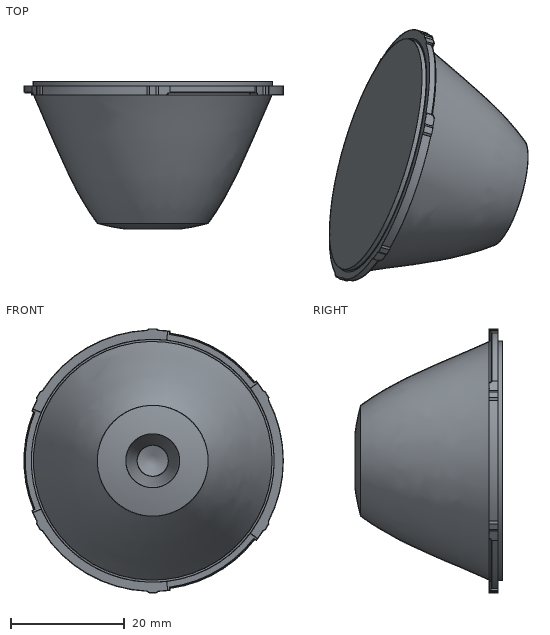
import cadquery as cq
import math


total_depth = 26.0
flange_diameter = 42.7
flange_radius = flange_diameter / 2
back_step_radius = 21.05
cone_base_radius = 20.95
dome_rise = 1.0
dome_radius_at_rim = 9.75
dome_rim_depth = total_depth - dome_rise
flank_points = [(17.08, 11.35), (12.75, 20.3)]

mouth_radius = 4.75
mouth_chamfer_width = 0.2
mouth_chamfer_depth = 0.45
recess_floor_radius = 2.75
recess_depth = 9.3
recess_cone_depth = 0.95

ring_radius = 22.95
ring_thickness = 1.6
ring_back_depth = 0.8
ring_front_depth = ring_back_depth + ring_thickness

bump_count = 6
bump_first_angle = 30.0
bump_tip_radius = 23.2
bump_tip_width = 1.2
bump_base_width = 1.95

notch_count = 3
notch_first_angle = 60.0
notch_depth = 0.3
notch_span = 46.8
notch_end_fillet = 0.25
rim_cut_span = 44.8
rim_cut_radius = 22.65
rim_chamfer = 0.25
clearance = 0.95


def polar(radius, angle):
    """Point in the X-Z plane at an angle in degrees."""
    return radius * math.cos(math.radians(angle)), radius * math.sin(math.radians(angle))


def cross_section(depth):
    """Workplane across the axis at a depth; its x, y and normal are X, Z and -Y."""
    return cq.Workplane("XZ", origin=(0, -depth, 0))


def revolve_about_axis(profile):
    return profile.close().revolve(360, (0, 0, 0), (0, 1, 0))


def sector(inner_radius, outer_radius, center_angle, span, start_depth, thickness):
    """Piece of a flat ring that covers the given angular span."""
    first = center_angle - span / 2
    last = center_angle + span / 2
    return (
        cross_section(start_depth)
        .moveTo(*polar(inner_radius, first))
        .lineTo(*polar(outer_radius, first))
        .threePointArc(polar(outer_radius, center_angle), polar(outer_radius, last))
        .lineTo(*polar(inner_radius, last))
        .threePointArc(polar(inner_radius, center_angle), polar(inner_radius, first))
        .close()
        .extrude(thickness)
    )


def make_lens():
    dome_mid_radius = (dome_radius_at_rim + mouth_radius) / 2
    dome_mid_rise = (
        dome_rise * (dome_radius_at_rim**2 - dome_mid_radius**2) / (dome_radius_at_rim**2 - mouth_radius**2)
    )
    flank = [(radius, -depth) for radius, depth in flank_points]
    profile = (
        cq.Workplane("XY")
        .lineTo(back_step_radius, 0)
        .lineTo(back_step_radius, -ring_back_depth)
        .lineTo(flange_radius, -ring_back_depth)
        .lineTo(flange_radius, -ring_front_depth)
        .lineTo(cone_base_radius, -ring_front_depth)
        .spline(flank + [(dome_radius_at_rim, -dome_rim_depth)], includeCurrent=True)
        .threePointArc((dome_mid_radius, -dome_rim_depth - dome_mid_rise), (mouth_radius, -total_depth))
        .lineTo(mouth_radius - mouth_chamfer_width, -total_depth + mouth_chamfer_depth)
        .lineTo(recess_floor_radius, -total_depth + recess_depth)
        .lineTo(0, -total_depth + recess_depth + recess_cone_depth)
    )
    return revolve_about_axis(profile)


def make_bump(angle):
    """Small tapered tooth rooted in the ring rim."""
    root_radius = ring_radius - clearance
    foot_radius = math.sqrt(ring_radius**2 - (bump_base_width / 2) ** 2)
    outline = [
        (root_radius, -bump_base_width / 2),
        (foot_radius, -bump_base_width / 2),
        (bump_tip_radius, -bump_tip_width / 2),
        (bump_tip_radius, bump_tip_width / 2),
        (foot_radius, bump_base_width / 2),
        (root_radius, bump_base_width / 2),
    ]
    tooth = cross_section(ring_back_depth).polyline(outline).close().extrude(ring_thickness)
    return tooth.rotate((0, 0, 0), (0, -1, 0), angle)


def make_rim_chamfer_cutter(angle, floor_depth):
    """Triangular section swept along the front outer edge of a notch."""
    outline = [
        (rim_cut_radius - rim_chamfer, -floor_depth),
        (rim_cut_radius, -floor_depth),
        (rim_cut_radius, -floor_depth + rim_chamfer),
    ]
    wedge = cq.Workplane("XY").polyline(outline).close().revolve(rim_cut_span, (0, 0, 0), (0, -1, 0))
    return wedge.rotate((0, 0, 0), (0, -1, 0), angle - rim_cut_span / 2)


def fillet_notch_ends(ring, floor_depth):
    """Round the straight corners where the notch floors meet their end walls."""
    half_slab = notch_depth / 4
    floor_slab = cq.selectors.BoxSelector(
        (-bump_tip_radius, -floor_depth - half_slab, -bump_tip_radius),
        (bump_tip_radius, -floor_depth + half_slab, bump_tip_radius),
        boundingbox=True,
    )
    return ring.edges(floor_slab).edges("%LINE").fillet(notch_end_fillet)


def make_holder_ring():
    ring = cross_section(ring_back_depth).circle(ring_radius).extrude(ring_thickness)
    for index in range(bump_count):
        ring = ring.union(make_bump(bump_first_angle + index * 360 / bump_count))
    ring = ring.cut(cross_section(ring_back_depth).circle(flange_radius).extrude(ring_thickness))

    outside = bump_tip_radius + clearance
    notch_angles = [notch_first_angle + index * 360 / notch_count for index in range(notch_count)]
    floor_depth = ring_front_depth - notch_depth
    for angle in notch_angles:
        ring = ring.cut(sector(flange_radius - clearance, outside, angle, notch_span, floor_depth, notch_depth))
    ring = fillet_notch_ends(ring, floor_depth)
    for angle in notch_angles:
        ring = ring.cut(sector(rim_cut_radius, outside, angle, rim_cut_span, ring_back_depth, ring_thickness))
        ring = ring.cut(make_rim_chamfer_cutter(angle, floor_depth))
    return ring


lens = make_lens()
holder_ring = make_holder_ring()

result = cq.Compound.makeCompound([lens.val(), holder_ring.val()])